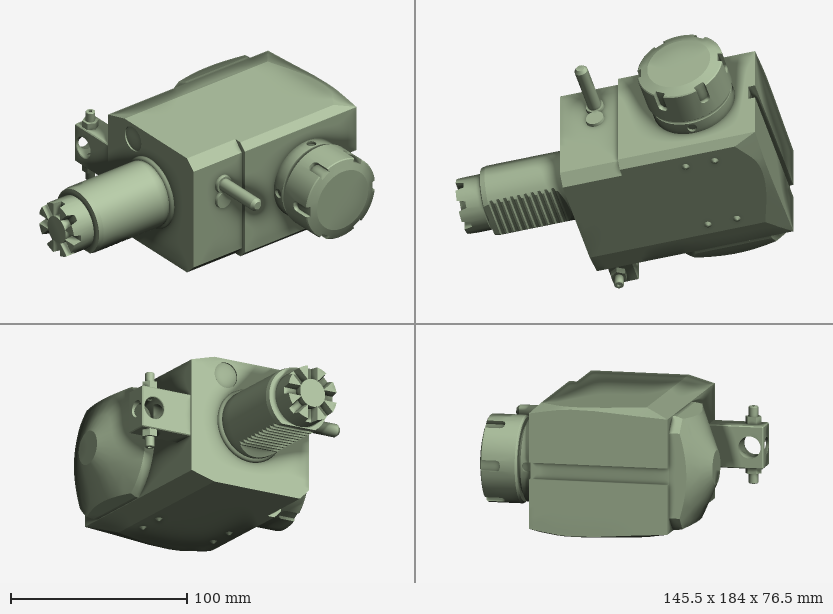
import cadquery as cq
import math


BODY_LENGTH = 116.0
BODY_HALF_HEIGHT = 37.5
BODY_LEFT = -38.8
BODY_RIGHT = 42.1
BODY_EDGE_DROP = 4.2
LEFT_SLOPE_WIDTH = 15.0
STEP_LENGTH = 35.0
STEP_RIGHT = 39.4
STEP_CHAMFER = 6.0
EDGE_HEIGHT = BODY_HALF_HEIGHT - BODY_EDGE_DROP

DRAFT = math.tan(math.radians(15))
CROWN_POINTS = [(BODY_LEFT, EDGE_HEIGHT), (-23.7, 34.2), (-1.3, 36.0), (13.0, 36.6),
                (24.1, 36.2), (37.7, 34.0), (BODY_RIGHT, EDGE_HEIGHT)]
CROWN_CUT_LENGTH = 22.0
CROWN_CUT_MARGIN = 1.8
CROWN_CUT_TOP = BODY_HALF_HEIGHT + CROWN_CUT_MARGIN

REAR_SLOT_WIDTH = 10.0
REAR_SLOT_DEPTH = 4.0

FRONT_RECESS_X = -16.0
FRONT_RECESS_Z = 27.8
FRONT_RECESS_RADIUS = 7.5
FRONT_RECESS_DEPTH = 1.0

SPINDLE_Y = 80.0

CAP_RADIUS = 40.0
CAP_RIM_X = -44.9
CAP_END_X = -58.9
CAP_END_RADIUS = 10.0
CAP_BACK_Y = 111.5
CAP_HALF_HEIGHT = 33.0
CAP_SLOPE_X = -41.0

RING_RADIUS = 24.1
RING_END_X = 49.9
NECK_RADIUS = 20.2
NUT_START_X = 51.9
NUT_RADIUS = 25.2
NUT_START_CHAMFER = 1.1
NUT_FACE_START_X = 73.0
NUT_END_X = 74.7
NUT_FACE_RADIUS = 24.7
NUT_END_RADIUS = 18.5
NUT_SLOT_COUNT = 6
NUT_SLOT_START_X = 61.6
NUT_SLOT_WIDTH = 6.3
NUT_SLOT_CORNER = 2.4
NUT_SLOT_FLOOR = 22.5
RING_HOLE_COUNT = 4
RING_HOLE_X = 46.2
RING_HOLE_RADIUS = 2.8
RING_HOLE_DEPTH = 1.8

SHANK_RADIUS = 20.0
SHANK_END = 52.8
SHANK_TAPER_START = 49.9
SHANK_END_RADIUS = 19.5
COLLAR_RADIUS = 21.7
COLLAR_LENGTH = 2.2
RELIEF_DEPTH = 0.2
RELIEF_END = 3.3
COUPLING_NECK_RADIUS = 12.9
COUPLING_START = 54.0
COUPLING_END = 68.0
COUPLING_RADIUS = 16.2
COUPLING_SLOT_COUNT = 8
COUPLING_SLOT_DEPTH = 4.8
COUPLING_SLOT_FLOOR_WIDTH = 3.9
COUPLING_SLOT_MOUTH_WIDTH = 6.0
HUB_RADIUS = 8.3

RACK_TIP = 16.0
RACK_ROOT = 14.7
RACK_RUNOUT_START = 5.2
RACK_START = 9.0
RACK_PITCH = 4.0
RACK_FIRST_GROOVE = 11.5
RACK_GROOVE_COUNT = 10
RACK_GROOVE_MOUTH = 3.0
RACK_GROOVE_FLOOR = 1.5

BRACKET_END_X = -70.8
BRACKET_FRONT_Y = 1.1
BRACKET_BACK_Y = 16.0
BRACKET_HALF_HEIGHT = 12.3
BRACKET_CHAMFER = 0.5
CROSS_X = -63.0
CROSS_HOLE_RADIUS = 6.5
INLET_Y = 7.7
INLET_RADIUS = 5.0
INLET_END_X = -44.2
CHANNEL_RADIUS = 1.5
CHANNEL_LENGTH = 11.0
CROSS_HOLE_CHAMFER = 0.4
STUD_Y = 6.3
STUD_RADIUS = 2.8
STUD_END_Z = 22.3
STUD_CHAMFER = 0.4
STUD_SOCKET = 2.4
STUD_SOCKET_DEPTH = 1.8
STUD_BORE_RADIUS = 1.7
STUD_BORE_DEPTH = 0.7
STUD_NUT_ACROSS_CORNERS = 9.5
STUD_NUT_TOP_Z = 16.4

PIN_Y = 21.0
PIN_Z = 16.2
PIN_RADIUS = 3.9
PIN_END_X = 71.5
PIN_TIP_LENGTH = 1.8
PIN_TIP_RADIUS = 2.4
PIN_COLLAR_RADIUS = 5.5
PIN_COLLAR_THICKNESS = 1.8
PIN_COLLAR_TAPER = 0.4
PLUG_Z = 6.3

RIVET_X = (-16.7, 30.2)
RIVET_Y = (71.5, 88.7)
RIVET_RADIUS = 2.2
RIVET_TIP_RADIUS = 0.5
RIVET_HEIGHT = 1.5

EMBED = 1.8


def turned_along_x(profile, y, z):
    """Solid of revolution about a line parallel to X; the profile lists (x, radius)."""
    outline = [(profile[0][0], 0)] + profile + [(profile[-1][0], 0)]
    solid = cq.Workplane("XY").polyline(outline).close().revolve(360, (0, 0), (1, 0))
    return solid.translate((0, y, z))


def cylinder(start, direction, radius, length):
    return cq.Workplane(cq.Solid.makeCylinder(radius, length, cq.Vector(*start), cq.Vector(*direction)))


def box(x_range, y_range, z_range):
    corner = cq.Vector(x_range[0], y_range[0], z_range[0])
    sizes = [high - low for low, high in (x_range, y_range, z_range)]
    return cq.Workplane(cq.Solid.makeBox(*sizes, corner))


def mirrored_in_z(shape):
    return shape.mirror("XY")


def body_block(right, chamfer, start, end):
    half_outline = [(BODY_LEFT, EDGE_HEIGHT), (BODY_LEFT + LEFT_SLOPE_WIDTH, BODY_HALF_HEIGHT),
                    (right - chamfer, BODY_HALF_HEIGHT), (right, BODY_HALF_HEIGHT - chamfer)]
    outline = half_outline + [(x, -z) for x, z in reversed(half_outline)]
    return cq.Workplane("XZ", origin=(0, start, 0)).polyline(outline).close().extrude(start - end)


def crown_cut():
    """Volume above the drafted rear face on the top side."""
    margin = CROWN_CUT_MARGIN
    region = (
        cq.Workplane("XZ", origin=(0, BODY_LENGTH, 0))
        .moveTo(BODY_LEFT - margin, EDGE_HEIGHT)
        .lineTo(*CROWN_POINTS[0])
        .spline(CROWN_POINTS[1:], includeCurrent=True)
        .lineTo(BODY_RIGHT + margin, EDGE_HEIGHT)
        .lineTo(BODY_RIGHT + margin, CROWN_CUT_TOP)
        .lineTo(BODY_LEFT - margin, CROWN_CUT_TOP)
        .close()
    )
    along_draft = cq.Vector(0, -CROWN_CUT_LENGTH, CROWN_CUT_LENGTH * DRAFT)
    return cq.Workplane(cq.Solid.extrudeLinear(region.wire().val(), [], along_draft))


def make_body():
    body = body_block(BODY_RIGHT, BODY_EDGE_DROP, STEP_LENGTH, BODY_LENGTH)
    body = body.union(body_block(STEP_RIGHT, STEP_CHAMFER, 0, STEP_LENGTH))
    cut = crown_cut()
    body = body.cut(cut).cut(mirrored_in_z(cut))
    half_slot = REAR_SLOT_WIDTH / 2
    body = body.cut(box((BODY_LEFT, BODY_RIGHT), (BODY_LENGTH - REAR_SLOT_DEPTH, BODY_LENGTH),
                        (-half_slot, half_slot)))
    recess_start = (FRONT_RECESS_X, 0, FRONT_RECESS_Z)
    return body.cut(cylinder(recess_start, (0, 1, 0), FRONT_RECESS_RADIUS, FRONT_RECESS_DEPTH))


def make_cap():
    root_x = BODY_LEFT + EMBED
    cap = turned_along_x([(CAP_END_X, CAP_END_RADIUS), (CAP_RIM_X, CAP_RADIUS), (root_x, CAP_RADIUS)],
                         SPINDLE_Y, 0)
    end_height = CAP_HALF_HEIGHT - (CAP_SLOPE_X - CAP_END_X) * DRAFT
    half_outline = [(CAP_END_X, end_height), (CAP_SLOPE_X, CAP_HALF_HEIGHT), (root_x, CAP_HALF_HEIGHT)]
    outline = half_outline + [(x, -z) for x, z in reversed(half_outline)]
    envelope = cq.Workplane("XZ", origin=(0, CAP_BACK_Y, 0)).polyline(outline).close()
    return cap.intersect(envelope.extrude(2 * CAP_RADIUS))


def nut_slot():
    """Slot cutter in the nut's -Y side, open at the nut's end, with rounded inner corners."""
    half_width = NUT_SLOT_WIDTH / 2
    overrun = 2 * NUT_SLOT_CORNER
    cutter = box((NUT_SLOT_START_X, NUT_END_X + overrun),
                 (SPINDLE_Y - NUT_RADIUS - EMBED, SPINDLE_Y - NUT_SLOT_FLOOR),
                 (-half_width, half_width))
    return cutter.edges("|Y").fillet(NUT_SLOT_CORNER)


def around_spindle(shape, count):
    return [shape.rotate((0, SPINDLE_Y, 0), (1, SPINDLE_Y, 0), 360 / count * i) for i in range(count)]


def make_spindle_nose():
    nose = turned_along_x([
        (BODY_RIGHT - EMBED, RING_RADIUS), (RING_END_X, RING_RADIUS),
        (RING_END_X, NECK_RADIUS), (NUT_START_X, NECK_RADIUS),
        (NUT_START_X, NUT_RADIUS - NUT_START_CHAMFER), (NUT_START_X + NUT_START_CHAMFER, NUT_RADIUS),
        (NUT_FACE_START_X - (NUT_RADIUS - NUT_FACE_RADIUS), NUT_RADIUS),
        (NUT_FACE_START_X, NUT_FACE_RADIUS), (NUT_END_X, NUT_END_RADIUS),
    ], SPINDLE_Y, 0)
    for cutter in around_spindle(nut_slot(), NUT_SLOT_COUNT):
        nose = nose.cut(cutter)
    hole_start = (RING_HOLE_X, SPINDLE_Y - RING_RADIUS, 0)
    hole = cylinder(hole_start, (0, 1, 0), RING_HOLE_RADIUS, RING_HOLE_DEPTH)
    for cutter in around_spindle(hole, RING_HOLE_COUNT):
        nose = nose.cut(cutter)
    return nose


def rack_cut():
    """Flat with transverse grooves on the underside of the shank."""
    below = -COLLAR_RADIUS - EMBED
    flat = cq.Workplane("YZ", origin=(-COLLAR_RADIUS, 0, 0)).polyline([
        (-RACK_RUNOUT_START, below), (-RACK_RUNOUT_START, -SHANK_RADIUS), (-RACK_START, -RACK_TIP),
        (-SHANK_END, -RACK_TIP), (-SHANK_END, below),
    ]).close().extrude(2 * COLLAR_RADIUS)
    half_mouth = RACK_GROOVE_MOUTH / 2
    half_floor = RACK_GROOVE_FLOOR / 2
    for i in range(RACK_GROOVE_COUNT):
        groove = cq.Workplane("YZ", origin=(-COLLAR_RADIUS, -RACK_FIRST_GROOVE - i * RACK_PITCH, 0))
        groove = groove.polyline([(-half_mouth, -RACK_TIP), (-half_floor, -RACK_ROOT),
                                  (half_floor, -RACK_ROOT), (half_mouth, -RACK_TIP)])
        flat = flat.union(groove.close().extrude(2 * COLLAR_RADIUS))
    return flat


def make_shank():
    collar_drop = COLLAR_RADIUS - SHANK_RADIUS
    collar_round = (collar_drop ** 2 + COLLAR_LENGTH ** 2) / (2 * collar_drop)
    relief_radius = SHANK_RADIUS - RELIEF_DEPTH
    shank = (
        cq.Workplane("XY")
        .moveTo(0, EMBED)
        .lineTo(COLLAR_RADIUS, EMBED)
        .lineTo(COLLAR_RADIUS, 0)
        .radiusArc((SHANK_RADIUS, -COLLAR_LENGTH), collar_round)
        .lineTo(relief_radius, -COLLAR_LENGTH)
        .lineTo(relief_radius, -RELIEF_END)
        .lineTo(SHANK_RADIUS, -RELIEF_END)
        .lineTo(SHANK_RADIUS, -SHANK_TAPER_START)
        .lineTo(SHANK_END_RADIUS, -SHANK_END)
        .lineTo(0, -SHANK_END)
        .close()
        .revolve(360, (0, 0), (0, 1))
    )
    return shank.cut(rack_cut())


def make_coupling():
    """Claw coupling: a ring of teeth around a plain hub."""
    along = (0, -1, 0)
    neck = cylinder((0, -SHANK_END + EMBED, 0), along, COUPLING_NECK_RADIUS,
                    COUPLING_START - SHANK_END + 2 * EMBED)
    coupling = cylinder((0, -COUPLING_START, 0), along, COUPLING_RADIUS, COUPLING_END - COUPLING_START)
    half_mouth = COUPLING_SLOT_MOUTH_WIDTH / 2
    half_floor = COUPLING_SLOT_FLOOR_WIDTH / 2
    floor_y = -COUPLING_END + COUPLING_SLOT_DEPTH
    slot = cq.Workplane("XY").polyline([(-half_mouth, -COUPLING_END), (-half_floor, floor_y),
                                        (half_floor, floor_y), (half_mouth, -COUPLING_END)])
    slot = slot.close().extrude(COUPLING_RADIUS + EMBED)
    for i in range(COUPLING_SLOT_COUNT):
        coupling = coupling.cut(slot.rotate((0, 0, 0), (0, 1, 0), 360 / COUPLING_SLOT_COUNT * i))
    hub = cylinder((0, -COUPLING_START, 0), along, HUB_RADIUS, COUPLING_END - COUPLING_START)
    return coupling.union(hub).union(neck)


def make_stud():
    """Upper stud with its hexagon nut and a hexagon socket in its end."""
    root_z = BRACKET_HALF_HEIGHT - EMBED
    base = cq.Workplane("XY", origin=(CROSS_X, STUD_Y, root_z))
    nut = base.polygon(6, STUD_NUT_ACROSS_CORNERS).extrude(STUD_NUT_TOP_Z - root_z)
    stud = base.circle(STUD_RADIUS).extrude(STUD_END_Z - root_z).faces(">Z").chamfer(STUD_CHAMFER)
    socket = cq.Workplane("XY", origin=(CROSS_X, STUD_Y, STUD_END_Z)).polygon(6, STUD_SOCKET)
    return nut.union(stud).cut(socket.extrude(-STUD_SOCKET_DEPTH))


def make_bracket():
    bracket = box((BRACKET_END_X, BODY_LEFT + EMBED), (BRACKET_FRONT_Y, BRACKET_BACK_Y),
                  (-BRACKET_HALF_HEIGHT, BRACKET_HALF_HEIGHT))
    bracket = bracket.edges("|X").chamfer(BRACKET_CHAMFER).faces("<X").chamfer(BRACKET_CHAMFER)
    stud = make_stud()
    bracket = bracket.union(stud).union(mirrored_in_z(stud))
    return bracket.cut(cross_hole()).cut(stud_bores())


def cross_hole():
    """Through hole along Y with a small chamfer at its front mouth."""
    hole = cylinder((CROSS_X, BRACKET_FRONT_Y, 0), (0, 1, 0), CROSS_HOLE_RADIUS,
                    BRACKET_BACK_Y - BRACKET_FRONT_Y)
    mouth = cq.Solid.makeCone(CROSS_HOLE_RADIUS + CROSS_HOLE_CHAMFER, CROSS_HOLE_RADIUS, CROSS_HOLE_CHAMFER,
                              cq.Vector(CROSS_X, BRACKET_FRONT_Y, 0), cq.Vector(0, 1, 0))
    return hole.union(cq.Workplane(mouth))


def stud_bores():
    """Shallow round recesses in the wall of the cross hole, in line with both studs."""
    reach = CROSS_HOLE_RADIUS + STUD_BORE_DEPTH
    return cylinder((CROSS_X, STUD_Y, -reach), (0, 0, 1), STUD_BORE_RADIUS, 2 * reach)


def inlet():
    """Coolant bore from the bracket's end, across the cross hole, narrowing into the body."""
    along = (1, 0, 0)
    bore = cylinder((BRACKET_END_X, INLET_Y, 0), along, INLET_RADIUS, INLET_END_X - BRACKET_END_X)
    return bore.union(cylinder((INLET_END_X, INLET_Y, 0), along, CHANNEL_RADIUS, CHANNEL_LENGTH))


def make_pin_collar(z):
    end_x = STEP_RIGHT + PIN_COLLAR_THICKNESS
    return turned_along_x([(STEP_RIGHT - EMBED, PIN_COLLAR_RADIUS), (STEP_RIGHT, PIN_COLLAR_RADIUS),
                           (end_x, PIN_COLLAR_RADIUS - PIN_COLLAR_TAPER)], PIN_Y, z)


def make_pin():
    pin = turned_along_x([(STEP_RIGHT - EMBED, PIN_RADIUS), (PIN_END_X - PIN_TIP_LENGTH, PIN_RADIUS),
                          (PIN_END_X, PIN_TIP_RADIUS)], PIN_Y, PIN_Z)
    return pin.union(make_pin_collar(PIN_Z)).union(make_pin_collar(PLUG_Z))


def make_rivet(x, y):
    cone = cq.Solid.makeCone(RIVET_RADIUS, RIVET_TIP_RADIUS, RIVET_HEIGHT,
                             cq.Vector(x, y, -BODY_HALF_HEIGHT), cq.Vector(0, 0, -1))
    return cq.Workplane(cone)


result = make_body()
for piece in (make_cap(), make_spindle_nose(), make_shank(), make_coupling(), make_bracket(), make_pin()):
    result = result.union(piece)
result = result.cut(inlet())
for rivet_x in RIVET_X:
    for rivet_y in RIVET_Y:
        result = result.union(make_rivet(rivet_x, rivet_y))
result = cq.Workplane(result.solids().val())